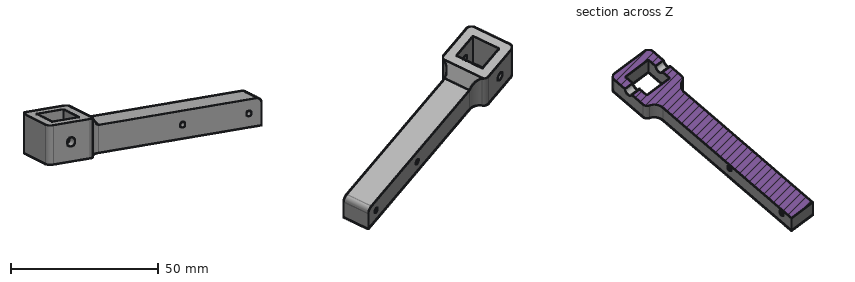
import cadquery as cq

total_length = 86.0
head_size = 18.0
head_height = 14.0
socket_size = 10.5
arm_size = 10.0
corner_radius = 2.0

head_hole_diameter = 3.2
arm_hole_diameter = 2.0
arm_hole_tip_distances = (5.0, 31.0)

cove_radius = (head_size - arm_size) / 2
slope_run = head_height - arm_size
arm_start = head_size + cove_radius
head_center = head_size / 2
diagonal = 0.5 ** 0.5


def plan_body():
    """Head, coves and arm as one plan outline, at full height."""
    half_head = head_size / 2
    half_arm = arm_size / 2
    cove_mid_x = half_head - cove_radius * diagonal
    cove_mid_y = arm_start - cove_radius * diagonal
    body = (
        cq.Workplane("XY")
        .moveTo(-half_head, 0)
        .lineTo(half_head, 0)
        .lineTo(half_head, head_size)
        .threePointArc((cove_mid_x, cove_mid_y), (half_arm, arm_start))
        .lineTo(half_arm, total_length)
        .lineTo(-half_arm, total_length)
        .lineTo(-half_arm, arm_start)
        .threePointArc((-cove_mid_x, cove_mid_y), (-half_head, head_size))
        .close()
        .extrude(head_height)
    )
    head_corners = cq.selectors.BoxSelector(
        (-head_size, -0.9, 0), (head_size, head_size + 0.9, head_height)
    )
    return body.edges("|Z").edges(head_corners).fillet(corner_radius)


def side_profile():
    """Side outline with the sloped shoulder and the rounded arm tip."""
    profile = (
        cq.Workplane("YZ")
        .polyline([
            (0, 0),
            (total_length, 0),
            (total_length, arm_size),
            (head_size + slope_run, arm_size),
            (head_size, head_height),
            (0, head_height),
        ])
        .close()
        .extrude(head_size / 2, both=True)
    )
    return profile.faces(">Y").edges(">Z").fillet(corner_radius)


def cross_hole(y, z, diameter):
    """Cylinder along X through the full width of the part."""
    return (
        cq.Workplane("YZ")
        .center(y, z)
        .circle(diameter / 2)
        .extrude(head_size, both=True)
    )


socket = (
    cq.Workplane("XY")
    .center(0, head_center)
    .rect(socket_size, socket_size)
    .extrude(head_height)
)

result = plan_body().intersect(side_profile()).cut(socket)
result = result.cut(cross_hole(head_center, head_height / 2, head_hole_diameter))
for tip_distance in arm_hole_tip_distances:
    hole_y = total_length - tip_distance
    result = result.cut(cross_hole(hole_y, arm_size / 2, arm_hole_diameter))